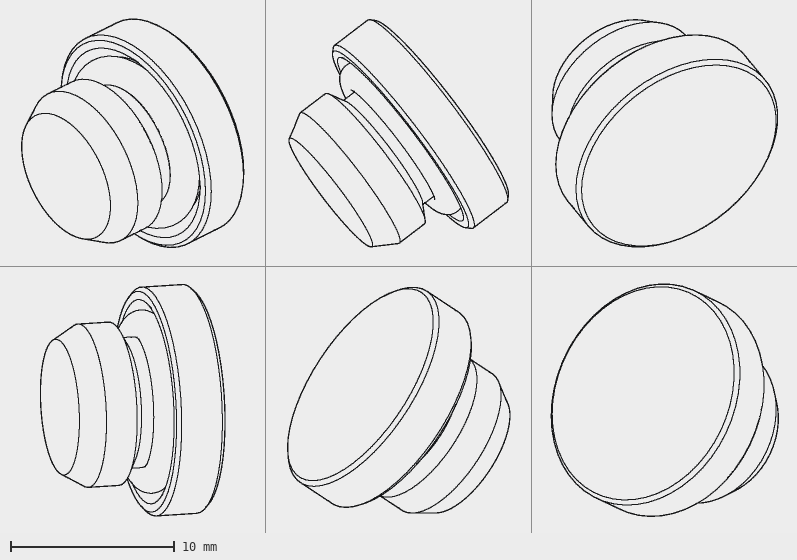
import cadquery as cq
import math

HEAD_DIAMETER = 14.0
HEAD_THICKNESS = 3.1
HEAD_CHAMFER = 0.25
TOTAL_LENGTH = 8.5

NECK_DIAMETER = 8.0
NECK_END = 4.5
SHANK_DIAMETER = 10.0
TIP_TAPER_START = 7.03
TAPER_ANGLE = math.radians(30)

RING_OUTER_DIAMETER = 11.2
RING_SECTION_DIAMETER = 1.79
RING_FRONT = 3.89
RECESS_MOUTH_DIAMETER = 12.49
RECESS_WALL_ANGLE = math.radians(45)

head_radius = HEAD_DIAMETER / 2
neck_radius = NECK_DIAMETER / 2
shank_radius = SHANK_DIAMETER / 2

section_radius = RING_SECTION_DIAMETER / 2
ring_radius = RING_OUTER_DIAMETER / 2 - section_radius
ring_center = RING_FRONT - section_radius

recess_floor = ring_center - section_radius
recess_mouth_radius = RECESS_MOUTH_DIAMETER / 2
recess_floor_radius = recess_mouth_radius - (HEAD_THICKNESS - recess_floor) * math.tan(RECESS_WALL_ANGLE)

shank_start = NECK_END + (shank_radius - neck_radius) * math.tan(TAPER_ANGLE)
tip_radius = shank_radius - (TOTAL_LENGTH - TIP_TAPER_START) * math.tan(TAPER_ANGLE)


def make_plug():
    """Revolve the half profile of head, recess, neck and tapered shank about Y."""
    profile = [
        (0, 0),
        (head_radius - HEAD_CHAMFER, 0),
        (head_radius, -HEAD_CHAMFER),
        (head_radius, HEAD_CHAMFER - HEAD_THICKNESS),
        (head_radius - HEAD_CHAMFER, -HEAD_THICKNESS),
        (recess_mouth_radius, -HEAD_THICKNESS),
        (recess_floor_radius, -recess_floor),
        (neck_radius, -recess_floor),
        (neck_radius, -NECK_END),
        (shank_radius, -shank_start),
        (shank_radius, -TIP_TAPER_START),
        (tip_radius, -TOTAL_LENGTH),
        (0, -TOTAL_LENGTH),
    ]
    return cq.Workplane("XY").polyline(profile).close().revolve(360, (0, 0, 0), (0, 1, 0))


def make_sealing_ring():
    """Revolve the round ring section about the plug axis."""
    section = cq.Workplane("XY").center(ring_radius, -ring_center).circle(section_radius)
    return section.revolve(360, (-ring_radius, 0, 0), (-ring_radius, 1, 0))


sealing_ring = make_sealing_ring()
plug = make_plug().cut(sealing_ring)
result = cq.Compound.makeCompound([plug.val(), sealing_ring.val()])